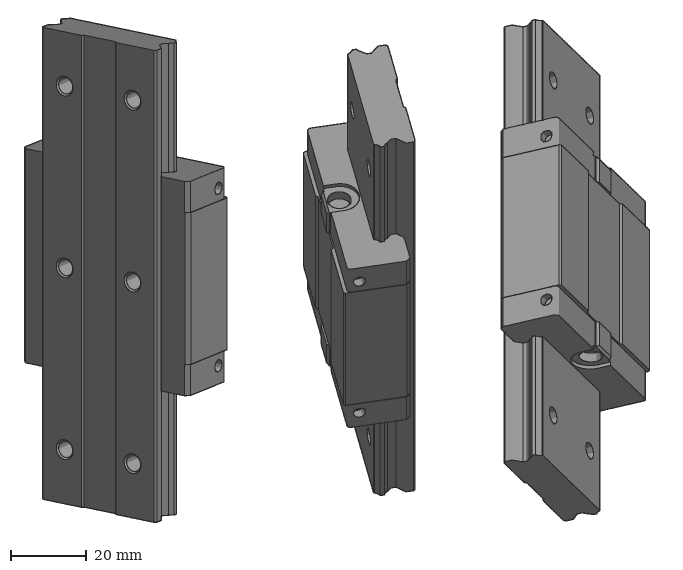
import cadquery as cq


rail_length = 130.0
rail_half_width = 18.5
rail_height = 11.0
rail_top_chamfer = 1.4
rail_base_chamfer = 0.5
side_groove_top = 8.5
side_groove_depth = 2.2
side_groove_floor_top = side_groove_top - side_groove_depth
side_groove_floor_bottom = 4.8
side_groove_bottom = side_groove_floor_bottom - side_groove_depth
side_groove_floor_x = rail_half_width - side_groove_depth
side_groove_corner_radius = 0.5
side_groove_root_radius = 1.2
base_relief_half_width = 5.6
base_relief_depth = 0.5

ball_diameter = 4.2
ball_x = 19.2
ball_mid_y = 9.0
ball_y_offset = 2.5

mount_hole_diameter = 4.5
mount_hole_mouth_diameter = 5.5
mount_hole_chamfer = (mount_hole_mouth_diameter - mount_hole_diameter) / 2
mount_hole_spacing = 22.0
mount_hole_pitch = 50.0

block_width = 54.0
block_half_width = block_width / 2
block_length = 59.0
block_bottom = 3.0
block_bottom_chamfer = 1.1
body_top = 21.0
body_length = 41.9
body_top_chamfer = 0.5
top_recess_half_width = 9.6
top_recess_depth = 0.6

cap_length = (block_length - body_length) / 2
cap_inset = 0.1
cap_half_width = block_half_width - cap_inset
cap_top = 20.0
cap_top_fillet = 1.0

port_y = 16.8
port_z = 24.5
side_port_diameter = 3.2
side_port_depth = 2.6
end_port_diameter = 6.2
end_port_depth = 2.6
end_recess_y = 16.5
end_recess_radius = 5.1
end_recess_depth = 1.0
pad_top = 20.9
pad_half_width = 4.2
pad_chamfer = 0.6


def extrude_along_z(outline, start, length):
    return outline.extrude(length).translate((0, 0, start))


def mirrored_outline(half_points):
    """Close an X-Y outline given by its +X half, from bottom to top."""
    other_half = [(-x, y) for x, y in reversed(half_points)]
    return cq.Workplane("XY").polyline(half_points + other_half).close()


def edges_along_z(workplane, x, y):
    """Select the pair of edges parallel to Z at +X and -X."""
    reach = 0.1
    selectors = [
        cq.selectors.BoxSelector(
            (side * x - reach, y - reach, -reach), (side * x + reach, y + reach, reach)
        )
        for side in (-1, 1)
    ]
    return workplane.edges(selectors[0] + selectors[1])


def make_ball_tracks():
    """Cutters for the four ball tracks."""
    centers = [
        (side * ball_x, ball_mid_y + rise)
        for side in (-1, 1)
        for rise in (-ball_y_offset, ball_y_offset)
    ]
    circles = cq.Workplane("XY").pushPoints(centers).circle(ball_diameter / 2)
    return extrude_along_z(circles, -rail_length / 2, rail_length)


def make_rail_bar():
    """Rail before its holes are drilled; it also shapes the channel in the block."""
    half_outline = [
        (base_relief_half_width - base_relief_depth, base_relief_depth),
        (base_relief_half_width, 0),
        (rail_half_width - rail_base_chamfer, 0),
        (rail_half_width, rail_base_chamfer),
        (rail_half_width, side_groove_bottom),
        (side_groove_floor_x, side_groove_floor_bottom),
        (side_groove_floor_x, side_groove_floor_top),
        (rail_half_width, side_groove_top),
        (rail_half_width, rail_height - rail_top_chamfer),
        (rail_half_width - rail_top_chamfer, rail_height),
    ]
    bar = extrude_along_z(mirrored_outline(half_outline), -rail_length / 2, rail_length)
    for corner_y in (side_groove_top, side_groove_bottom):
        bar = edges_along_z(bar, rail_half_width, corner_y).fillet(side_groove_corner_radius)
    root_edges = edges_along_z(bar, side_groove_floor_x, side_groove_floor_top)
    bar = root_edges.fillet(side_groove_root_radius)
    return bar.cut(make_ball_tracks())


def make_mount_hole(x, z):
    """Cutter for a through hole in the rail with a chamfered mouth at the base."""
    mouth = cq.Solid.makeCone(
        mount_hole_mouth_diameter / 2,
        mount_hole_diameter / 2,
        mount_hole_chamfer,
        cq.Vector(x, 0, z),
        cq.Vector(0, 1, 0),
    )
    bore = cq.Solid.makeCylinder(
        mount_hole_diameter / 2, rail_height, cq.Vector(x, 0, z), cq.Vector(0, 1, 0)
    )
    return bore.fuse(mouth)


def make_rail():
    rail = make_rail_bar()
    for x in (-mount_hole_spacing / 2, mount_hole_spacing / 2):
        for z in (-mount_hole_pitch, 0, mount_hole_pitch):
            rail = rail.cut(cq.Workplane(make_mount_hole(x, z)))
    return rail


def make_block_body():
    half_outline = [
        (block_half_width - block_bottom_chamfer, block_bottom),
        (block_half_width, block_bottom + block_bottom_chamfer),
        (block_half_width, body_top - body_top_chamfer),
        (block_half_width - body_top_chamfer, body_top),
        (top_recess_half_width + top_recess_depth, body_top),
        (top_recess_half_width, body_top - top_recess_depth),
    ]
    return extrude_along_z(mirrored_outline(half_outline), -body_length / 2, body_length)


def make_end_cap():
    """End cap at the +Z end of the block, with its port recess and raised pad."""
    half_outline = [
        (cap_half_width - block_bottom_chamfer, block_bottom),
        (cap_half_width, block_bottom + block_bottom_chamfer),
        (cap_half_width, cap_top),
    ]
    cap = extrude_along_z(mirrored_outline(half_outline), body_length / 2, cap_length)
    cap = cap.edges("|Z and >Y").fillet(cap_top_fillet)

    end_face = block_length / 2
    recess_floor = end_face - end_recess_depth
    recess = (
        cq.Workplane("XY")
        .workplane(offset=recess_floor)
        .moveTo(-end_recess_radius, cap_top)
        .lineTo(-end_recess_radius, end_recess_y)
        .threePointArc((0, end_recess_y - end_recess_radius), (end_recess_radius, end_recess_y))
        .lineTo(end_recess_radius, cap_top)
        .close()
        .extrude(end_recess_depth)
    )
    end_port = (
        cq.Workplane("XY")
        .workplane(offset=recess_floor - end_port_depth)
        .center(0, port_y)
        .circle(end_port_diameter / 2)
        .extrude(end_port_depth)
    )

    pad_length = cap_length - end_recess_depth
    pad = (
        cq.Workplane("XY")
        .box(2 * pad_half_width, pad_top - cap_top, pad_length, centered=(True, False, False))
        .translate((0, cap_top, body_length / 2))
    )
    pad = pad.faces(">Y").edges("|Z or >Z").chamfer(pad_chamfer)
    return cap.union(pad).cut(recess).cut(end_port)


def make_side_port(side, end):
    """Cutter for a blind lubrication port in the side of an end cap."""
    return cq.Workplane(
        cq.Solid.makeCylinder(
            side_port_diameter / 2,
            side_port_depth,
            cq.Vector(side * cap_half_width, port_y, end * port_z),
            cq.Vector(-side, 0, 0),
        )
    )


def make_block():
    end_cap = make_end_cap()
    block = make_block_body().union(end_cap).union(end_cap.mirror("XY"))
    for side in (-1, 1):
        for end in (-1, 1):
            block = block.cut(make_side_port(side, end))
    return block.cut(make_rail_bar())


rail = make_rail()
block = make_block()

result = cq.Compound.makeCompound([rail.val(), block.val()])